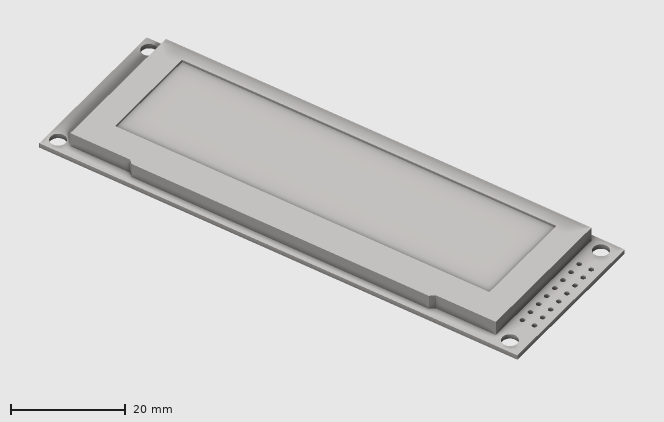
import cadquery as cq

board_length = 100.5
board_width = 33.7
board_thickness = 1.0
total_height = 4.0

mount_diameter = 3.1
mount_left = 2.2
mount_right = board_length - 3.3
mount_front = 2.6
mount_back = board_width - 2.5

frame_height = total_height - board_thickness
frame_left = 4.9
frame_right = board_length - 6.1
frame_front = 2.4
frame_back = board_width - 1.3
tab_front = 1.6
tab_left = 18.4
tab_right = board_length - 19.7
tab_taper = 1.0

window_left = 10.4
window_right = board_length - 11.5
window_front = 8.3
window_back = board_width - 4.3
window_depth = 0.5

pin_diameter = 1.0
pin_rows = 8
pin_row_span = 17.8
pin_pitch = pin_row_span / (pin_rows - 1)
pin_front = 8.2
pin_right = board_length - 1.9
pin_columns = (pin_right - pin_pitch, pin_right)


def make_board():
    board = cq.Workplane("XY").box(board_length, board_width, board_thickness, centered=False)
    mounts = [(x, y) for x in (mount_left, mount_right) for y in (mount_front, mount_back)]
    pins = [(x, pin_front + row * pin_pitch) for x in pin_columns for row in range(pin_rows)]
    for points, diameter in ((mounts, mount_diameter), (pins, pin_diameter)):
        holes = cq.Workplane("XY").pushPoints(points).circle(diameter / 2).extrude(board_thickness)
        board = board.cut(holes)
    return board


def make_frame():
    outline = [
        (frame_left, frame_back),
        (frame_left, frame_front),
        (tab_left - tab_taper, frame_front),
        (tab_left, tab_front),
        (tab_right, tab_front),
        (tab_right + tab_taper, frame_front),
        (frame_right, frame_front),
        (frame_right, frame_back),
    ]
    frame = cq.Workplane("XY", origin=(0, 0, board_thickness)).polyline(outline).close().extrude(frame_height)
    window = (
        cq.Workplane("XY", origin=(window_left, window_front, total_height - window_depth))
        .box(window_right - window_left, window_back - window_front, window_depth, centered=False)
    )
    return frame.cut(window)


result = make_board().union(make_frame())